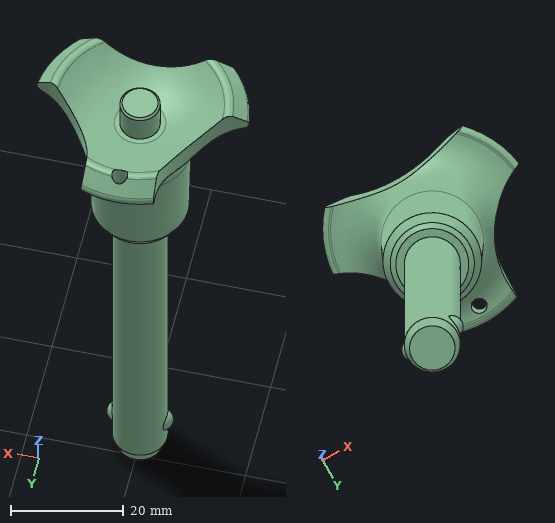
import cadquery as cq
import math


shank_radius = 5.0
shank_length = 70.0
tip_radius = 4.05
tip_taper_length = 2.75

ball_radius = 2.0
ball_reach = 6.1
ball_height_above_tip = 8.1

handle_height = 32.9
shoulder_radius = 6.5
shoulder_bevel_radius = 7.5
shoulder_bevel_height = 0.5
sleeve_bottom_radius = 8.8
sleeve_bottom_height = 2.8
sleeve_top_radius = 9.15

rim_radius = 19.61
rim_edge_radius = 1.1
rim_bevel_angle = 42.0
crest_radius = 15.9
crest_rounding = 1.2
flare_radius = 9.0

bowl_sphere_radius = 21.5
bowl_floor_radius = 4.6

button_radius = 3.6
button_chamfer = 0.4

scallop_waist = 11.1
side_scallop_radius = 19.5
side_scallop_angle = 31.8
front_scallop_radius = 46.0

lanyard_hole_radius = 1.4
lanyard_hole_offset = 16.1

bevel_slope = math.radians(rim_bevel_angle)
crest_center = (crest_radius, handle_height - crest_rounding)
bevel_top_radius = crest_radius + crest_rounding * math.sin(bevel_slope)
bevel_top_height = crest_center[1] + crest_rounding * math.cos(bevel_slope)
crest_to_bowl_center = bowl_sphere_radius + crest_rounding
bowl_center_height = crest_center[1] + math.sqrt(crest_to_bowl_center**2 - crest_radius**2)
bowl_rim_radius = crest_radius * bowl_sphere_radius / crest_to_bowl_center

edge_center_radius = rim_radius - rim_edge_radius
bevel_bottom_radius = edge_center_radius + rim_edge_radius * math.sin(bevel_slope)
bevel_bottom_height = bevel_top_height - (bevel_bottom_radius - bevel_top_radius) * math.tan(bevel_slope)
edge_center = (edge_center_radius, bevel_bottom_height - rim_edge_radius * math.cos(bevel_slope))


def bowl_height(radius):
    """Height of the spherical bowl surface at a distance from the pin axis."""
    return bowl_center_height - math.sqrt(bowl_sphere_radius**2 - radius**2)


rim_bottom = edge_center[1] - rim_edge_radius
sleeve_top_height = rim_bottom - flare_radius
bowl_floor_height = bowl_height(bowl_floor_radius)


def point_on_circle(center, radius, degrees):
    """Point on a circle, at an angle counted from the first axis of its plane."""
    angle = math.radians(degrees)
    return (center[0] + radius * math.cos(angle), center[1] + radius * math.sin(angle))


def make_shank():
    shank = (
        cq.Workplane("XZ")
        .moveTo(0, -shank_length)
        .lineTo(tip_radius, -shank_length)
        .lineTo(shank_radius, -shank_length + tip_taper_length)
        .lineTo(shank_radius, sleeve_bottom_height)
        .lineTo(0, sleeve_bottom_height)
        .close()
        .revolve(360, (0, 0, 0), (0, 1, 0))
    )
    ball_height = -shank_length + ball_height_above_tip
    for side in (-1, 1):
        ball_center = (side * (ball_reach - ball_radius), 0, ball_height)
        shank = shank.union(cq.Workplane("XY").sphere(ball_radius).translate(ball_center))
    return shank


def make_handle_body():
    flare_center = (sleeve_top_radius + flare_radius, sleeve_top_height)
    flare_middle_angle = 135
    nose_under_middle_angle = -45
    nose_upper_middle_angle = (90 - rim_bevel_angle) / 2
    bowl_middle = (bowl_floor_radius + bowl_rim_radius) / 2
    return (
        cq.Workplane("XZ")
        .moveTo(0, 0)
        .lineTo(shoulder_radius, 0)
        .lineTo(shoulder_bevel_radius, shoulder_bevel_height)
        .lineTo(sleeve_bottom_radius, sleeve_bottom_height)
        .lineTo(sleeve_top_radius, sleeve_top_height)
        .threePointArc(
            point_on_circle(flare_center, flare_radius, flare_middle_angle),
            (flare_center[0], rim_bottom),
        )
        .lineTo(edge_center[0], rim_bottom)
        .threePointArc(
            point_on_circle(edge_center, rim_edge_radius, nose_under_middle_angle),
            (rim_radius, edge_center[1]),
        )
        .threePointArc(
            point_on_circle(edge_center, rim_edge_radius, nose_upper_middle_angle),
            (bevel_bottom_radius, bevel_bottom_height),
        )
        .lineTo(bevel_top_radius, bevel_top_height)
        .threePointArc((crest_radius, handle_height), (bowl_rim_radius, bowl_height(bowl_rim_radius)))
        .threePointArc((bowl_middle, bowl_height(bowl_middle)), (bowl_floor_radius, bowl_floor_height))
        .lineTo(0, bowl_floor_height)
        .close()
        .revolve(360, (0, 0, 0), (0, 1, 0))
    )


def make_scallop(radius, degrees):
    """Upright cylinder that cuts one side of the grip, reaching in to the waist."""
    center = point_on_circle((0, 0), scallop_waist + radius, degrees)
    return cq.Workplane("XY").center(*center).circle(radius).extrude(handle_height)


def make_lanyard_hole():
    return (
        cq.Workplane("XY")
        .center(0, lanyard_hole_offset)
        .circle(lanyard_hole_radius)
        .extrude(handle_height)
    )


def make_button():
    return (
        cq.Workplane("XY")
        .workplane(offset=bowl_floor_height)
        .circle(button_radius)
        .extrude(handle_height - bowl_floor_height)
        .faces(">Z")
        .chamfer(button_chamfer)
    )


def make_handle():
    handle = make_handle_body()
    handle = handle.cut(make_scallop(side_scallop_radius, side_scallop_angle))
    handle = handle.cut(make_scallop(side_scallop_radius, 180 - side_scallop_angle))
    handle = handle.cut(make_scallop(front_scallop_radius, -90))
    return handle.cut(make_lanyard_hole())


result = make_shank().union(make_handle()).union(make_button())